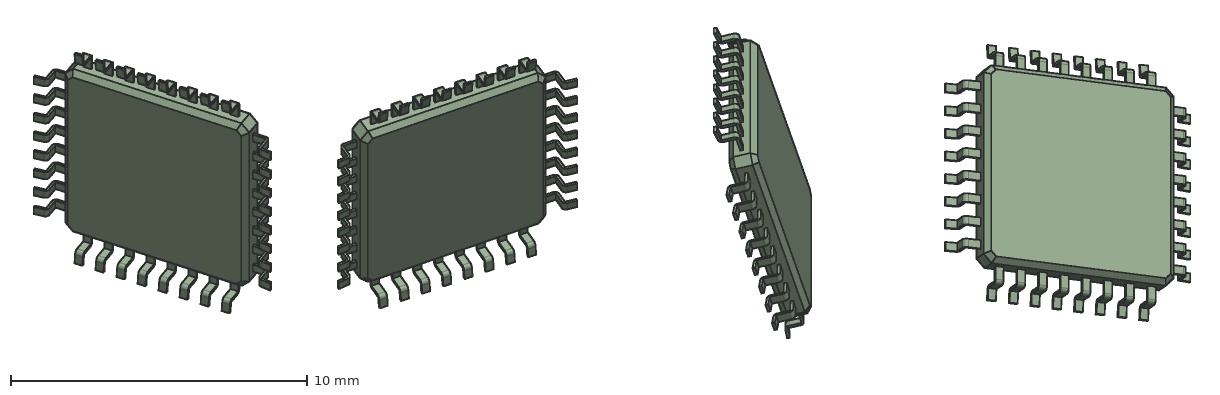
import cadquery as cq
import math


overall_span = 9.01
overall_height = 1.2

body_side = 7.01
body_thickness = 1.0
corner_chamfer = 0.3
rim_chamfer = 0.2

leads_per_side = 8
row_length = 5.6
lead_width = 0.3
lead_thickness = 0.1
foot_length = 0.4
foot_tilt = 7.0
bend_radius = 0.15

lead_pitch = row_length / (leads_per_side - 1)

body_face = body_side / 2
tip = overall_span / 2
upright_outer = tip - foot_length
upright_inner = upright_outer - lead_thickness

shoulder_top = lead_thickness / 2
shoulder_bottom = -lead_thickness / 2
tip_bottom = body_thickness / 2 - overall_height
foot_slope = math.tan(math.radians(foot_tilt))
foot_section_height = lead_thickness / math.cos(math.radians(foot_tilt))
tip_top = tip_bottom + foot_section_height
foot_root_top = tip_top + foot_slope * (tip - upright_outer)
heel_bottom = tip_bottom + foot_slope * (tip - upright_inner)


def make_body():
    """Square slab with chamfered corners and chamfered rims."""
    body = cq.Workplane("XY").box(body_side, body_thickness, body_side)
    body = body.edges("|Y").chamfer(corner_chamfer)
    return body.faces("<Y or >Y").edges().chamfer(rim_chamfer)


def make_lead():
    """One lead on the +X side, centred on z = 0."""
    outline = [
        (body_face, shoulder_top),
        (upright_outer, shoulder_top),
        (upright_outer, foot_root_top),
        (tip, tip_top),
        (tip, tip_bottom),
        (upright_inner, heel_bottom),
        (upright_inner, shoulder_bottom),
        (body_face, shoulder_bottom),
    ]
    lead = cq.Workplane("XY").polyline(outline).close().extrude(lead_width / 2, both=True)
    outer_bends = [(upright_outer, shoulder_top, 0), (upright_inner, heel_bottom, 0)]
    for bend in outer_bends:
        lead = lead.edges(cq.NearestToPointSelector(bend)).fillet(bend_radius)
    return lead


def add_leads(body):
    """Join an evenly spaced row of leads to each of the four sides."""
    lead = make_lead()
    first_offset = -row_length / 2
    for side in range(4):
        for index in range(leads_per_side):
            placed = lead.translate((0, 0, first_offset + index * lead_pitch))
            body = body.union(placed.rotate((0, 0, 0), (0, 1, 0), 90 * side))
    return body


result = add_leads(make_body())